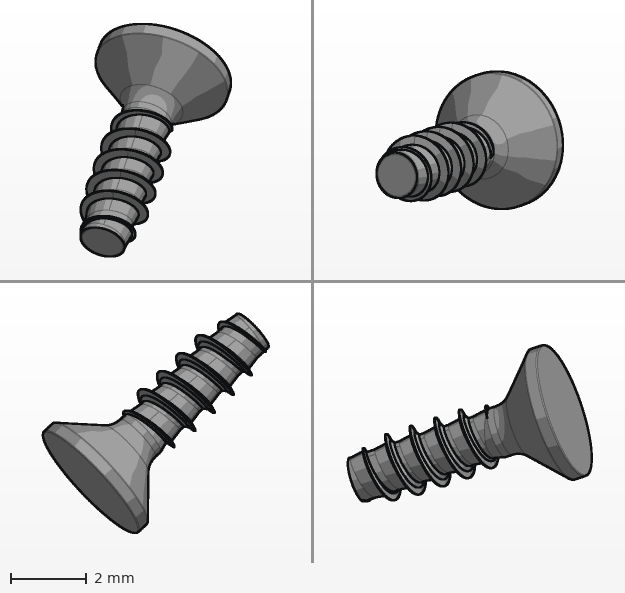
import cadquery as cq
import math


head_radius = 1.825
rim_height = 0.345
rim_edge_fillet = 0.03
neck_radius = 0.682
neck_fillet_radius = 0.62
neck_end_y = -1.94
neck_taper_length = 0.27

length = 6.0
core_radius = 0.61
tip_dish_radius = 0.56
tip_dish_depth = 0.03

pitch = 0.71
crest_radius = 0.90
crest_width = 0.02
buried_radius = 0.595
kink_radius = 0.725
kink_rise = 0.05
upper_flank_width = 0.149
lower_flank_width = 0.09
first_crest_y = -1.93
thread_start_angle = -270.0
thread_end_angle = 2040.0
start_ramp_end_angle = 360.0
start_ramp_per_turn = 0.14
end_ramp_start_angle = 1540.0
end_ramp_per_turn = 0.20

taper_radius = 0.68
taper_length = 0.43
taper_fade_angle = 1810.0
taper_fade_per_turn = 0.16
points_per_turn = 16


def make_body():
    """Head, neck and core as one solid of revolution."""
    cone_sin = math.sin(math.radians(45))
    fillet_top_radius = neck_radius + neck_fillet_radius * (1 - cone_sin)
    fillet_top_y = -rim_height - (head_radius - fillet_top_radius)
    fillet_end_y = fillet_top_y - neck_fillet_radius * cone_sin
    mid_angle = math.radians(22.5)
    fillet_mid = (
        neck_radius + neck_fillet_radius * (1 - math.cos(mid_angle)),
        fillet_end_y + neck_fillet_radius * math.sin(mid_angle),
    )
    profile = (
        cq.Workplane("XY")
        .moveTo(0, 0)
        .lineTo(head_radius, 0)
        .lineTo(head_radius, -rim_height)
        .lineTo(fillet_top_radius, fillet_top_y)
        .threePointArc(fillet_mid, (neck_radius, fillet_end_y))
        .lineTo(neck_radius, neck_end_y)
        .lineTo(core_radius, neck_end_y - neck_taper_length)
        .lineTo(core_radius, -length)
        .lineTo(0, -length)
        .close()
    )
    body = profile.revolve(360, (0, 0), (0, 1))
    rim_edges = cq.selectors.RadiusNthSelector(-1)
    return body.edges(rim_edges).fillet(rim_edge_fillet)


def helix_point(radius, offset_y, angle):
    """Point on the thread helix, at a radius and a y offset from the crest."""
    turn = math.radians(angle)
    y = first_crest_y + offset_y - pitch * angle / 360
    return cq.Vector(radius * math.cos(turn), y, radius * math.sin(turn))


def helical_solid(section_at, start_angle, end_angle):
    """Solid swept along the helix; section_at(angle) gives its (radius, y offset) corners."""
    steps = math.ceil((end_angle - start_angle) / 360 * points_per_turn)
    angles = [start_angle + (end_angle - start_angle) * i / steps for i in range(steps + 1)]
    rings = [[helix_point(r, y, angle) for r, y in section_at(angle)] for angle in angles]
    edges = [cq.Edge.makeSpline(list(path)) for path in zip(*rings)]
    faces = []
    for edge, next_edge in zip(edges, edges[1:] + edges[:1]):
        faces.append(cq.Face.makeRuledSurface(edge, next_edge))
    for ring in (rings[0], rings[-1]):
        faces.append(cq.Face.makeFromWires(cq.Wire.makePolygon(ring, close=True)))
    return cq.Workplane(cq.Solid.makeSolid(cq.Shell.makeShell(faces)))


def thread_drop(angle):
    """How far the tooth sits below full height near the two ends of the thread."""
    start_turns = max(0, start_ramp_end_angle - angle) / 360
    end_turns = max(0, angle - end_ramp_start_angle) / 360
    return start_turns * start_ramp_per_turn + end_turns * end_ramp_per_turn


def taper_drop(angle):
    """How far the helical taper has faded into the core near the tip."""
    return max(0, angle - taper_fade_angle) / 360 * taper_fade_per_turn


def thread_section(angle):
    """Tooth with a two-slope upper flank, and the taper that runs on below its lower flank."""
    tooth_drop = thread_drop(angle)
    crest = crest_radius - tooth_drop
    half_crest = crest_width / 2
    taper_top = taper_radius - taper_drop(angle)
    flank_slope = (crest_radius - buried_radius) / lower_flank_width
    taper_slope = (taper_radius - core_radius) / taper_length
    root_y = (taper_top - crest - flank_slope * half_crest) / (flank_slope - taper_slope)
    buried_y = -(taper_radius - buried_radius) / taper_slope
    return [
        (buried_radius - tooth_drop, half_crest + upper_flank_width),
        (kink_radius - tooth_drop, half_crest + kink_rise),
        (crest, half_crest),
        (crest, -half_crest),
        (taper_top + taper_slope * root_y, root_y),
        (taper_top + taper_slope * buried_y, buried_y),
    ]


def add_thread(body):
    """Adds tooth and taper turn by turn; the first turn is cut off flat where the neck ends."""
    neck_zone = cq.Workplane("XZ", origin=(0, neck_end_y, 0)).circle(head_radius).extrude(neck_end_y)
    start = thread_start_angle
    while start < thread_end_angle:
        end = min(start + 360, thread_end_angle)
        turn = helical_solid(thread_section, start, end)
        if start < 0:
            turn = turn.cut(neck_zone)
        body = body.union(turn, clean=False)
        start = end
    return body


def make_tip_cutter():
    """Everything beyond the tip plane, with a shallow cone that dishes the tip face."""
    profile = (
        cq.Workplane("XY")
        .moveTo(0, tip_dish_depth - length)
        .lineTo(tip_dish_radius, -length)
        .lineTo(head_radius, -length)
        .lineTo(head_radius, -length - pitch * 2)
        .lineTo(0, -length - pitch * 2)
        .close()
    )
    return profile.revolve(360, (0, 0), (0, 1))


result = add_thread(make_body()).cut(make_tip_cutter())